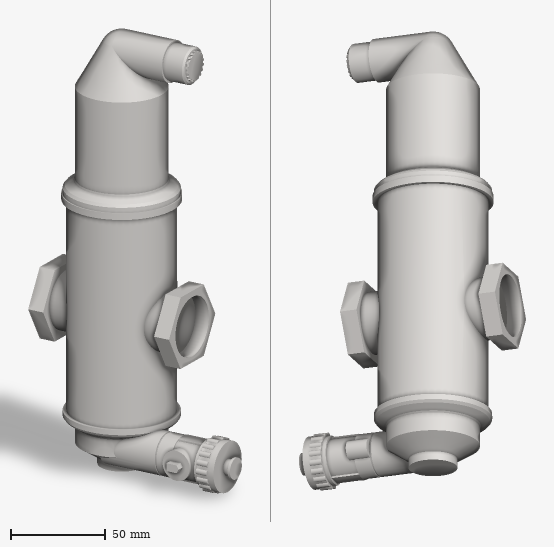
import cadquery as cq
import math

total_height = 246.0
bowl_flange_top = 30.5
port_height = 86.0
housing_top = 153.8
shoulder_height = 214.0

barrel_radius = 29.5
rim_radius = 32.2
rim_height = 3.7

flange_radius = 31.5
flange_edge_height = 3.0
flange_bevel_radius = 30.3
flange_bevel_height = 4.5
flange_neck_radius = 25.5
flange_neck_height = 7.1
flange_height = 8.0

neck_radius = 50.0 / 2
elbow_radius = 23.4 / 2
elbow_height = total_height - elbow_radius
elbow_end = 32.2
spigot_radius = 21.0 / 2
spigot_end = 44.0
spigot_bevel = 1.0
vent_disc_radius = 16.7 / 2
vent_disc_end = 46.2
vent_notch_count = 18
vent_notch_width = 1.5
vent_notch_depth = 1.0

port_pipe_radius = 33.7 / 2
port_end = 44.0
port_hex_length = 9.3
port_hex_across_flats = 40.5
port_bore_depth = 8.4

bowl_bottom = 12.3
spout_radius = 26.0 / 2
spout_height = 4.7

drain_y = -11.0
drain_z = 15.7
drain_radius = 24.0 / 2
nozzle_end = 35.0
joint_gap_length = 1.0
joint_gap_depth = 0.62
valve_shoulder = 44.8
valve_end = 60.3
valve_waist_radius = 23.0 / 2
valve_pad_width = 8.9
valve_pad_height = 11.5

boss_x = 49.0
boss_radius = 17.0 / 2
boss_reach = 13.0
key_start = 45.5
key_end = 52.0
key_point = 53.1
key_width = 4.5
key_reach = 17.5

stub_radius = 5.2
stub_end = 47.7

cap_collar_radius = 26.5 / 2
cap_collar_end = 62.5
cap_radius = 28.5 / 2
cap_end = 73.0
grip_count = 18
grip_circle_radius = 13.5
grip_rod_radius = 1.7
grip_end = 69.1
stem_radius = 9.0 / 2
stem_end = 76.8
button_radius = 12.0 / 2
button_end = 78.2


def rod(radius, start, end, y=0.0, z=0.0):
    """Round bar parallel to X between two X positions."""
    return cq.Workplane("YZ", origin=(start, y, z)).circle(radius).extrude(end - start)


def drain_rod(radius, start, end):
    """Round bar on the axis of the drain line."""
    return rod(radius, start, end, drain_y, drain_z)


def turned(points):
    """Solid turned about the main axis from (radius, height) points."""
    return cq.Workplane("XZ").polyline(points).close().revolve(360, (0, 0), (0, 1))


def flange_points(base, direction):
    """Outer (radius, height) points of the flange, rising (+1) or hanging (-1) from its base."""
    return [
        (flange_radius, base),
        (flange_radius, base + direction * flange_edge_height),
        (flange_bevel_radius, base + direction * flange_bevel_height),
        (flange_neck_radius, base + direction * flange_neck_height),
        (neck_radius, base + direction * flange_height),
    ]


def make_head_shell():
    """Flange, neck and a cone that runs smoothly into a ball at the elbow."""
    rise = elbow_height - shoulder_height
    shoulder_distance = math.hypot(neck_radius, rise)
    tangent_angle = math.acos(elbow_radius / shoulder_distance) - math.atan2(rise, neck_radius)
    cone_top_radius = elbow_radius * math.cos(tangent_angle)
    cone_top = elbow_height + elbow_radius * math.sin(tangent_angle)
    shell = turned(
        [(0, housing_top)]
        + flange_points(housing_top, 1)
        + [(neck_radius, shoulder_height), (cone_top_radius, cone_top), (0, cone_top)]
    )
    ball = cq.Workplane("XY", origin=(0, 0, elbow_height)).sphere(elbow_radius)
    return shell.union(ball)


def make_vent_disc():
    """Notched disc at the open end of the elbow."""
    disc = rod(vent_disc_radius, spigot_end, vent_disc_end, z=elbow_height)
    notch_start = spigot_end + spigot_bevel
    notches = (
        cq.Workplane("YZ", origin=(notch_start, 0, elbow_height))
        .polarArray(vent_disc_radius, 0, 360, vent_notch_count)
        .rect(2 * vent_notch_depth, vent_notch_width)
        .extrude(vent_disc_end - notch_start)
    )
    return disc.cut(notches)


def make_head():
    elbow = rod(elbow_radius, 0, elbow_end, z=elbow_height)
    spigot = rod(spigot_radius, elbow_end, spigot_end + spigot_bevel, z=elbow_height)
    spigot = spigot.faces(">X").chamfer(spigot_bevel)
    return make_head_shell().union(elbow).union(spigot).union(make_vent_disc())


def make_housing():
    """Barrel with its top rim and two hexagonal side ports."""
    barrel = turned(
        [
            (0, bowl_flange_top),
            (barrel_radius, bowl_flange_top),
            (barrel_radius, housing_top - rim_height),
            (rim_radius, housing_top - rim_height),
            (rim_radius, housing_top),
            (0, housing_top),
        ]
    )
    hex_start = port_end - port_hex_length
    hex_across_corners = port_hex_across_flats / math.cos(math.pi / 6)
    housing = barrel.union(rod(port_pipe_radius, -hex_start, hex_start, z=port_height))
    for start, bore_start in ((-port_end, -port_end), (hex_start, port_end - port_bore_depth)):
        hexagon = (
            cq.Workplane("YZ", origin=(start, 0, port_height))
            .polygon(6, hex_across_corners)
            .extrude(port_hex_length)
        )
        bore = rod(port_pipe_radius, bore_start, bore_start + port_bore_depth, z=port_height)
        housing = housing.union(hexagon.cut(bore))
    return housing


def make_bowl():
    """Bottom bowl with its spout and the nozzle that feeds the drain valve."""
    bowl = turned(
        [(0, bowl_flange_top)]
        + flange_points(bowl_flange_top, -1)
        + [
            (neck_radius, bowl_bottom),
            (spout_radius, spout_height),
            (spout_radius, 0),
            (0, 0),
        ]
    )
    return bowl.union(drain_rod(drain_radius, 0, nozzle_end))


def make_spindle():
    """Boss on the front of the valve with a pointed key standing on it."""
    boss = (
        cq.Workplane("XZ", origin=(boss_x, drain_y, drain_z))
        .circle(boss_radius)
        .extrude(boss_reach)
    )
    half_width = key_width / 2
    key = (
        cq.Workplane("XZ", origin=(0, drain_y, drain_z))
        .polyline(
            [
                (key_start, -half_width),
                (key_end, -half_width),
                (key_point, 0),
                (key_end, half_width),
                (key_start, half_width),
            ]
        )
        .close()
        .extrude(key_reach)
    )
    return boss.union(key)


def make_valve():
    body_start = nozzle_end + joint_gap_length
    neck = drain_rod(drain_radius - joint_gap_depth, nozzle_end, body_start)
    body = drain_rod(drain_radius, body_start, valve_shoulder)
    waist = drain_rod(valve_waist_radius, valve_shoulder, valve_end)
    pads = (
        cq.Workplane("YZ", origin=(valve_shoulder, drain_y, drain_z))
        .rect(valve_pad_width, 2 * valve_pad_height)
        .extrude(valve_end - valve_shoulder)
    )
    stub = rod(stub_radius, body_start, stub_end, z=drain_z)
    return neck.union(body).union(waist).union(pads).union(stub).union(make_spindle())


def make_cap():
    """Ribbed cap with a stem and an end button."""
    cap = (
        drain_rod(cap_collar_radius, valve_end, cap_collar_end)
        .union(drain_rod(cap_radius, cap_collar_end, cap_end))
        .union(drain_rod(stem_radius, cap_end, stem_end))
        .union(drain_rod(button_radius, stem_end, button_end))
    )
    grips = (
        cq.Workplane("YZ", origin=(cap_collar_end, drain_y, drain_z))
        .polarArray(grip_circle_radius, 0, 360, grip_count)
        .circle(grip_rod_radius)
        .extrude(grip_end - cap_collar_end)
    )
    return cap.union(grips)


head = make_head()
housing = make_housing()
bowl = make_bowl()
valve = make_valve()
cap = make_cap()

result = cq.Compound.makeCompound(
    [head.val(), housing.val(), bowl.val(), valve.val(), cap.val()]
)